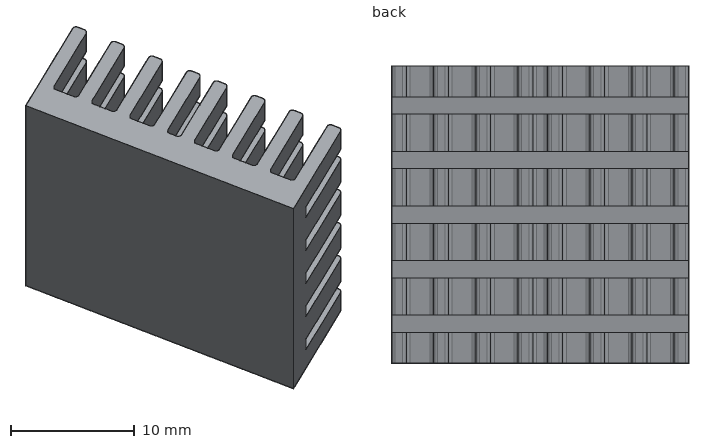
import cadquery as cq

side = 24.0
total_depth = 9.0
base_thickness = 2.52

fins_per_half = 4
fin_thickness = 1.2
center_gap = 1.2
corner_radius = fin_thickness / 4

cross_slot_count = 5
end_row_width = 2.5
inner_row_width = 3.0
cross_slot_floor = 2.3

half_width = (side - center_gap) / 2
fin_gap = (half_width - fins_per_half * fin_thickness) / (fins_per_half - 1)
fin_pitch = fin_thickness + fin_gap
inner_rows_total = (cross_slot_count - 1) * inner_row_width
cross_slot_width = (side - 2 * end_row_width - inner_rows_total) / cross_slot_count
cross_slot_pitch = cross_slot_width + inner_row_width

front_y = -total_depth / 2
tip_y = total_depth / 2
channel_floor_y = front_y + base_thickness
slot_floor_y = front_y + cross_slot_floor


def box_between(x_range, y_range, z_range):
    """Axis-aligned box spanning the given (low, high) ranges."""
    lows, highs = zip(x_range, y_range, z_range)
    sizes = [high - low for low, high in zip(lows, highs)]
    return cq.Workplane("XY").box(*sizes, centered=False).translate(lows)


def fin_left_edges():
    """Left X of every fin: one evenly spaced group on each side of the center gap."""
    group_starts = (-side / 2, center_gap / 2)
    return [start + i * fin_pitch for start in group_starts for i in range(fins_per_half)]


def finned_block():
    """Full-height block with the lengthwise channels and rounded fin corners."""
    full = (-side / 2, side / 2)
    block = box_between(full, (front_y, tip_y), full)
    lefts = fin_left_edges()
    for left, next_left in zip(lefts, lefts[1:]):
        channel = box_between((left + fin_thickness, next_left), (channel_floor_y, tip_y), full)
        block = block.cut(channel)
    return block.edges("|Z").edges("not <Y").fillet(corner_radius)


def cut_cross_slots(block):
    """Split the fins into rows with square slots that run across the whole width."""
    for i in range(cross_slot_count):
        bottom = -side / 2 + end_row_width + i * cross_slot_pitch
        slot = box_between(
            (-side / 2, side / 2),
            (slot_floor_y, tip_y),
            (bottom, bottom + cross_slot_width),
        )
        block = block.cut(slot)
    return block


result = cut_cross_slots(finned_block())